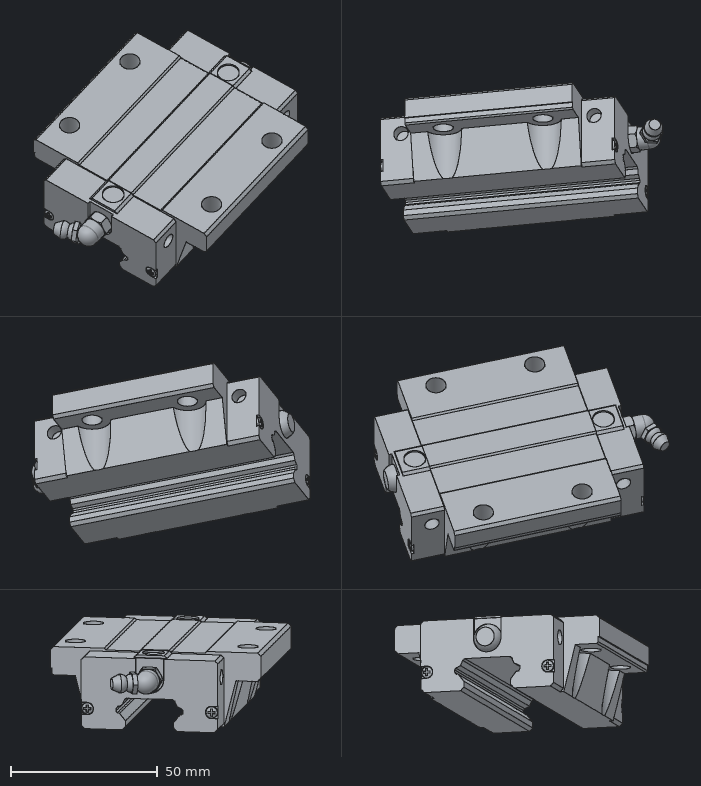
import cadquery as cq
import math


carriage_length = 58.9
flange_width = 73.0
flange_top = 26.0
flange_bottom = 16.1
flange_chamfer = 1.1
relief_chamfer = 0.6
reference_relief = 0.5
reference_edge_bottom = 18.5
leg_half_width_top = 27.8
leg_half_width_bottom = 23.7
recess_depth = 0.6
recess_outer_half_width = 17.8
recess_wall_run = 0.7
strip_half_width = 4.8

hole_diameter = 6.8
hole_pitch_x = 59.8
hole_pitch_y = 35.0
relief_radius = 6.4

cap_half_width = 23.6
cap_top = 24.9
cap_top_chamfer = 1.0
cap_bottom_chamfer = 1.2
housing_thickness = 9.7
plate_thickness = 2.1
cap_ridge_height = 0.9
cap_ridge_slope_run = 1.0
top_recess_diameter = 7.4
top_recess_depth = 0.7
top_recess_y = 33.4
port_diameter = 5.1
port_depth = 4.4
port_y = 33.9
port_z = 18.1

slot_radius = 4.9
slot_depth = 1.1
lube_z = 17.9
plug_height = 3.5
plug_flat_radius = 3.2
plug_dome_radius = 4.6
base_hex_flats = 8.0
base_hex_height = 3.8
base_hex_corner_chamfer = 0.5
elbow_diameter = 7.9
elbow_straight = 3.6
arm_angle = 22.5
arm_hex_flats = 6.8
arm_hex_start = 3.6
arm_hex_end = 5.3
arm_collar_radius = 3.2
arm_neck_radius = 2.3
arm_neck_position = 7.0
arm_rounding_radius = 2.9
arm_bulge_radius = 3.2
arm_bulge_position = 9.3
arm_tip_radius = 2.0
arm_tip_position = 12.0

screw_x = 21.5
screw_z = 7.0
screw_pocket_width = 4.2
screw_pocket_depth = 0.9
screw_head_diameter = 4.0
screw_head_side_height = 0.8
screw_head_height = 1.4
cross_length = 2.4
cross_width = 0.7
cross_depth = 0.5

channel_roof = 11.0
channel_roof_half_width = 7.9
channel_roof_corner_run = 0.8
channel_roof_corner_drop = 0.6
channel_flank_half_width = 9.5
channel_flank_bottom = 8.7
race_half_width = 11.6
race_top = 7.3
race_bottom = 6.5
race_corner_run = 0.5
race_corner_rise = 0.6
race_corner_drop = 0.7
lip_half_width = 8.3
lip_top = 3.2
lip_flank_half_width = 10.4
lip_flank_top = 5.8
lip_chamfer = 1.2

overlap = 1.0
flange_half_width = flange_width / 2
carriage_end = carriage_length / 2
housing_end = carriage_end + housing_thickness
cap_end = housing_end + plate_thickness
slot_floor = cap_end - slot_depth


def extrude_along_y(profile, y_start, y_end):
    """Extrude a closed XZ outline between two Y positions."""
    plane = cq.Workplane("XZ", origin=(0, y_start, 0))
    return plane.polyline(profile).close().extrude(y_start - y_end)


def mirrored(half):
    """Complete an outline, given its +X half, with the -X half."""
    return half + [(-x, z) for x, z in reversed(half)]


def make_carriage():
    """Flanged carriage with its reference edge relief and mounting holes."""
    recess_floor = flange_top - recess_depth
    top_side = [
        (strip_half_width, flange_top),
        (strip_half_width + recess_wall_run, recess_floor),
        (recess_outer_half_width - recess_wall_run, recess_floor),
        (recess_outer_half_width, flange_top),
        (flange_half_width - flange_chamfer, flange_top),
        (flange_half_width, flange_top - flange_chamfer),
    ]
    leg = [
        (leg_half_width_top, flange_bottom),
        (leg_half_width_bottom, 0),
    ]
    flange_underside = [
        (flange_half_width, flange_bottom + flange_chamfer),
        (flange_half_width - flange_chamfer, flange_bottom),
    ]
    body = extrude_along_y(mirrored(top_side + flange_underside + leg), -carriage_end, carriage_end)

    relieved_x = reference_relief - flange_half_width
    reference_step = [
        (-flange_half_width - overlap, reference_edge_bottom),
        (relieved_x, reference_edge_bottom),
        (relieved_x, flange_bottom + relief_chamfer),
        (relieved_x + relief_chamfer, flange_bottom),
        (-flange_half_width - overlap, flange_bottom),
    ]
    body = body.cut(extrude_along_y(reference_step, -carriage_end, carriage_end))

    mounting = cq.Workplane("XY").rarray(hole_pitch_x, hole_pitch_y, 2, 2)
    holes = mounting.circle(hole_diameter / 2).extrude(flange_top)
    leg_reliefs = mounting.circle(relief_radius).extrude(flange_bottom)
    return body.cut(holes).cut(leg_reliefs)


def make_end_cap():
    """Cap for the -Y end, with pockets for the lubrication fitting and screws."""
    outline = mirrored([
        (cap_half_width - cap_top_chamfer, cap_top),
        (cap_half_width, cap_top - cap_top_chamfer),
        (cap_half_width, cap_bottom_chamfer),
        (cap_half_width - cap_bottom_chamfer, 0),
    ])
    cap = extrude_along_y(outline, -cap_end, -carriage_end)

    ridge = mirrored([
        (strip_half_width, cap_top + cap_ridge_height),
        (strip_half_width + cap_ridge_slope_run, cap_top),
    ])
    cap = cap.union(extrude_along_y(ridge, -housing_end, -carriage_end))

    ridge_top = cq.Workplane("XY", origin=(0, -top_recess_y, cap_top + cap_ridge_height))
    cap = cap.cut(ridge_top.circle(top_recess_diameter / 2).extrude(-top_recess_depth))

    for side in (-1, 1):
        port_face = cq.Workplane("YZ", origin=(side * cap_half_width, -port_y, port_z))
        cap = cap.cut(port_face.circle(port_diameter / 2).extrude(-side * port_depth))

    outer_face = cq.Workplane("XZ", origin=(0, -cap_end, lube_z))
    slot_height = cap_top - lube_z + overlap
    slot = outer_face.circle(slot_radius).extrude(-slot_depth)
    slot = slot.union(
        outer_face.center(0, slot_height / 2).rect(2 * slot_radius, slot_height).extrude(-slot_depth)
    )
    cap = cap.cut(slot)

    for side in (-1, 1):
        cap = add_screw(cap, side)
    return cap


def add_screw(cap, side):
    """Cut a pocket open to the cap side and set a cross-head screw in it."""
    face = cq.Workplane("XZ", origin=(side * screw_x, -cap_end, screw_z))
    opening = cap_half_width - screw_x + overlap
    pocket = face.circle(screw_pocket_width / 2).extrude(-screw_pocket_depth)
    pocket = pocket.union(
        face.center(side * opening / 2, 0)
        .rect(opening, screw_pocket_width)
        .extrude(-screw_pocket_depth)
    )

    floor = face.workplane(offset=-screw_pocket_depth)
    screw_head_radius = screw_head_diameter / 2
    dome_rise = screw_head_height - screw_head_side_height
    dome_radius = (screw_head_radius**2 + dome_rise**2) / (2 * dome_rise)
    dome_centre = floor.workplane(offset=screw_head_height - dome_radius)
    head = floor.circle(screw_head_radius).extrude(screw_head_height)
    head = head.intersect(dome_centre.sphere(dome_radius))
    recess_floor = floor.workplane(offset=screw_head_height - cross_depth)
    for width, height in ((cross_length, cross_width), (cross_width, cross_length)):
        head = head.cut(recess_floor.rect(width, height).extrude(cross_depth))
    return cap.cut(pocket).union(head)


def make_plug():
    """Domed plug standing on the slot floor of the +Y cap."""
    half_profile = (
        cq.Workplane("XY", origin=(0, slot_floor, lube_z))
        .lineTo(slot_radius, 0)
        .radiusArc((plug_flat_radius, plug_height), -plug_dome_radius)
        .lineTo(0, plug_height)
        .close()
    )
    return half_profile.revolve(360, (0, 0), (0, 1))


def hexagon_corner_diameter(across_flats):
    return across_flats / math.cos(math.radians(30))


def make_nipple():
    """Elbow grease nipple: hexagon base, ball elbow and angled arm."""
    floor = cq.Workplane("XZ", origin=(0, -slot_floor, lube_z))
    base_corners = hexagon_corner_diameter(base_hex_flats)
    base = floor.polygon(6, base_corners).extrude(base_hex_height)
    turned_blank = floor.circle(base_corners / 2).extrude(base_hex_height)
    base = base.intersect(turned_blank.faces("<Y or >Y").chamfer(base_hex_corner_chamfer))

    elbow_y = -slot_floor - base_hex_height - elbow_straight
    elbow = floor.workplane(offset=base_hex_height).circle(elbow_diameter / 2).extrude(elbow_straight)
    ball = cq.Workplane("XY").sphere(elbow_diameter / 2).translate((0, elbow_y, lube_z))

    arm = (
        cq.Workplane("XY")
        .moveTo(-arm_hex_start, 0)
        .lineTo(-arm_hex_start, arm_collar_radius)
        .lineTo(-arm_hex_end, arm_collar_radius)
        .radiusArc((-arm_neck_position, arm_neck_radius), -arm_rounding_radius)
        .radiusArc((-arm_bulge_position, arm_bulge_radius), -arm_rounding_radius)
        .lineTo(-arm_tip_position, arm_tip_radius)
        .lineTo(-arm_tip_position, 0)
        .close()
        .revolve(360, (0, 0), (1, 0))
    )
    arm_hex = (
        cq.Workplane("YZ", origin=(-arm_hex_end, 0, 0))
        .polygon(6, hexagon_corner_diameter(arm_hex_flats))
        .extrude(arm_hex_end - arm_hex_start)
    )
    arm = arm.union(arm_hex).rotate((0, 0, 0), (0, 0, 1), arm_angle).translate((0, elbow_y, lube_z))
    return base.union(elbow).union(ball).union(arm)


def make_rail_channel():
    """Clearance for the rail, running the full length of the block."""
    outline = mirrored([
        (channel_roof_half_width, channel_roof),
        (channel_roof_half_width + channel_roof_corner_run, channel_roof - channel_roof_corner_drop),
        (channel_flank_half_width, channel_flank_bottom),
        (race_half_width - race_corner_run, race_top + race_corner_rise),
        (race_half_width, race_top),
        (race_half_width, race_bottom),
        (race_half_width - race_corner_run, race_bottom - race_corner_drop),
        (lip_flank_half_width, lip_flank_top),
        (lip_half_width, lip_top),
        (lip_half_width, lip_chamfer),
        (lip_half_width + lip_chamfer, 0),
    ])
    return extrude_along_y(outline, -cap_end, cap_end)


front_cap = make_end_cap()
rear_cap = front_cap.mirror("XZ")

block = make_carriage().union(front_cap).union(rear_cap)
block = block.cut(make_rail_channel())
result = block.union(make_plug()).union(make_nipple())